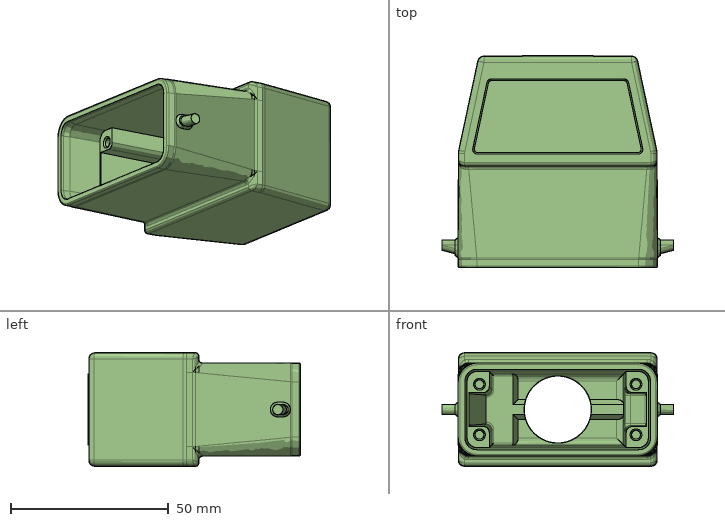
import cadquery as cq
import math


PIN_SPAN = 73.5
TOTAL_LENGTH = 67.3
HOOD_HEIGHT = 36.0

SEAT_HEIGHT = 0.25
BACK_Y = TOTAL_LENGTH - SEAT_HEIGHT
SHOULDER_Y = 32.2
BEND_Y = 36.7
HALF_WIDTH = 31.5
BACK_HALF_WIDTH = 25.0
BEND_RADIUS = 5.0
REAR_EDGE_RADIUS = 2.0
SHOULDER_RADIUS = 1.1

SKIRT_HALF_WIDTH = 31.65
SKIRT_HEIGHT = 29.6
SKIRT_OVERLAP = 1.0
CHEEK_END_Y = 36.1
SKIRT_MOUTH_RADIUS = 6.0
SKIRT_SHOULDER_RADIUS = 3.1
BAND_LENGTH = 2.6
BAND_STEP_END = 3.1
BAND_INSET = 0.1
MOUTH_EDGE_RADIUS = 0.5

WALL = 3.3
CAVITY_WIDTH = 57.8
CAVITY_HEIGHT = 24.5
CAVITY_CORNER_RADIUS = 3.3
RIM_STEP = 0.5
RIM_DEPTH = 1.0
DRAFT_START_Y = 3.0
POST_FACE_Y = 14.3
POST_HALF_GAP_X = 21.9
POST_HALF_GAP_Z = 5.6
POST_CORNER_RADIUS = 1.8
DRAFT_ANGLE = 1.0
SHELF_Y = BEND_Y
CAVITY_END_Y = 64.0
CAVITY_END_RADIUS = 2.2
FLOOR_FILLET = 0.6

RAISED_FLOOR_HEIGHT = 2.2
RAISED_FLOOR_EDGE_X = -14.1
RIB_HALF_WIDTH = 1.65
RAISED_FLOOR_DRAFT = 35.0

SCREW_X = 24.8
SCREW_Z = 8.0
SCREW_DIAMETER = 2.8
SCREW_CHAMFER = 0.45
SCREW_CHAMFER_ANGLE = 45.0
SCREW_DEPTH = 12.0

ENTRY_DIAMETER = 21.2
SEAT_DIAMETER = 22.4

LABEL_FRONT_Y = 36.0
LABEL_BACK_Y = 59.8
LABEL_FRONT_HALF_WIDTH = 27.3
LABEL_BACK_HALF_WIDTH = 22.2
LABEL_CORNER_RADIUS = 1.5
LABEL_DEPTH = 0.5
LABEL_DRAFT = 45.0

PIN_Y = 7.2
PIN_DIAMETER = 3.2
PIN_ROOT_LENGTH = 4.9
PIN_TIP_FLAT = 0.05
PIN_EMBED = 1.0
COLLAR_FLARE = 0.8
COLLAR_LENGTH = 1.0
COLLAR_EMBED = 0.1

WIDE_REACH = 2.0
BEND_REACH = 1.0
NARROW_REACH = 0.4


def section_at(y):
    """Workplane across the hood at depth y: local x is +X, local y is -Z, extrusion runs to +Y."""
    return cq.Workplane(cq.Plane(origin=(0, y, 0), xDir=(1, 0, 0), normal=(0, 1, 0)))


def rounded_rect(width, height, radius):
    return cq.Sketch().rect(width, height).vertices().fillet(radius)


def make_tapering_plan(front_y, inset):
    """Slab with the plan of the hood, narrowing from the bend to the back, its sides moved in by inset."""
    slope = (HALF_WIDTH - BACK_HALF_WIDTH) / (BACK_Y - BEND_Y)
    side_inset = inset * math.sqrt(1 + slope**2)
    bend_half_width = HALF_WIDTH - side_inset
    back_half_width = BACK_HALF_WIDTH - side_inset
    return (
        cq.Workplane("XY")
        .polyline([
            (-bend_half_width, front_y),
            (bend_half_width, front_y),
            (bend_half_width, BEND_Y),
            (back_half_width, BACK_Y),
            (-back_half_width, BACK_Y),
            (-bend_half_width, BEND_Y),
        ])
        .close()
        .extrude(HOOD_HEIGHT / 2, both=True)
    )


def make_rear():
    body = make_tapering_plan(SHOULDER_Y, 0)
    bends = cq.selectors.BoxSelector(
        (-PIN_SPAN, BEND_Y - BEND_REACH, -HOOD_HEIGHT), (PIN_SPAN, BEND_Y + BEND_REACH, HOOD_HEIGHT)
    )
    body = body.edges("|Z").edges(bends).fillet(BEND_RADIUS)
    body = body.faces(">Y").edges("|Z").fillet(REAR_EDGE_RADIUS)
    body = body.faces("<Y").edges("|X").fillet(SHOULDER_RADIUS)
    return body.faces(">Z or <Z").edges(">Y or (not |X)").fillet(REAR_EDGE_RADIUS)


def make_skirt():
    width = 2 * SKIRT_HALF_WIDTH
    band_width = width - 2 * BAND_INSET
    band_height = SKIRT_HEIGHT - 2 * BAND_INSET
    band_sketch = rounded_rect(band_width, band_height, SKIRT_MOUTH_RADIUS)
    root_sketch = rounded_rect(width, SKIRT_HEIGHT, SKIRT_MOUTH_RADIUS)
    shoulder_sketch = rounded_rect(2 * HALF_WIDTH, SKIRT_HEIGHT, SKIRT_SHOULDER_RADIUS)
    band = section_at(0).placeSketch(band_sketch).extrude(BAND_LENGTH)
    band = band.faces("<Y").edges().fillet(MOUTH_EDGE_RADIUS)
    step = BAND_STEP_END - BAND_LENGTH
    step_ring = section_at(BAND_LENGTH).placeSketch(
        band_sketch, root_sketch.moved(cq.Location(cq.Vector(0, 0, step)))
    ).loft()
    rise = SHOULDER_Y + SKIRT_OVERLAP - BAND_STEP_END
    sleeve = section_at(BAND_STEP_END).placeSketch(
        root_sketch, shoulder_sketch.moved(cq.Location(cq.Vector(0, 0, rise)))
    ).loft()
    return band.union(step_ring).union(sleeve)


def make_cheeks():
    """Carries the skirt section past the shoulder so that its side walls run flush into the rear part."""
    cheek_sketch = rounded_rect(2 * HALF_WIDTH, SKIRT_HEIGHT, SKIRT_SHOULDER_RADIUS)
    return section_at(SHOULDER_Y).placeSketch(cheek_sketch).extrude(CHEEK_END_Y - SHOULDER_Y)


def make_shell():
    shell = make_rear().union(make_skirt())
    reach = NARROW_REACH
    for side in (1, -1):
        inner_corner = cq.selectors.BoxSelector(
            (-reach, SHOULDER_Y - reach, side * SKIRT_HEIGHT / 2 - reach),
            (reach, SHOULDER_Y + reach, side * SKIRT_HEIGHT / 2 + reach),
        )
        shell = shell.edges(inner_corner).fillet(SHOULDER_RADIUS)
    return shell.union(make_cheeks())


def make_mouth_cavity():
    """Straight rim, a short lead-in, then drafted walls down to the post faces."""
    rim_sketch = rounded_rect(
        CAVITY_WIDTH + 2 * RIM_STEP, CAVITY_HEIGHT + 2 * RIM_STEP, CAVITY_CORNER_RADIUS + RIM_STEP
    )
    cavity_sketch = rounded_rect(CAVITY_WIDTH, CAVITY_HEIGHT, CAVITY_CORNER_RADIUS)
    lead_in_end = cavity_sketch.moved(cq.Location(cq.Vector(0, 0, DRAFT_START_Y - RIM_DEPTH)))
    rim = section_at(0).placeSketch(rim_sketch).extrude(RIM_DEPTH)
    lead_in = section_at(RIM_DEPTH).placeSketch(rim_sketch, lead_in_end).loft()
    walls_length = POST_FACE_Y - DRAFT_START_Y
    walls = section_at(DRAFT_START_Y).placeSketch(cavity_sketch).extrude(walls_length, taper=DRAFT_ANGLE)
    return rim.union(lead_in).union(walls)


def make_drafted_slot(x_start, x_end, height, end_y):
    """Box down to end_y whose four walls close in by the draft angle."""
    return (
        section_at(DRAFT_START_Y)
        .center((x_start + x_end) / 2, 0)
        .rect(x_end - x_start, height)
        .extrude(end_y - DRAFT_START_Y, taper=DRAFT_ANGLE)
    )


def make_side_slot(side, end_y):
    """Slot between one pair of posts, reaching from the centre to the side wall."""
    outer_x = side * CAVITY_WIDTH / 2
    return make_drafted_slot(min(0, outer_x), max(0, outer_x), 2 * POST_HALF_GAP_Z, end_y)


def make_shelf_slot():
    slot = make_side_slot(1, SHELF_Y)
    return slot.faces(">Y").edges().fillet(FLOOR_FILLET)


def make_channel():
    """Space between the four posts, with slots reaching to the left and right walls."""
    channel = make_drafted_slot(-POST_HALF_GAP_X, POST_HALF_GAP_X, CAVITY_HEIGHT, CAVITY_END_Y)
    channel = channel.faces(">Y").edges("|X or >X").fillet(CAVITY_END_RADIUS)
    channel = channel.union(make_side_slot(-1, CAVITY_END_Y)).union(make_shelf_slot())
    for side, end_y in ((-1, CAVITY_END_Y), (1, SHELF_Y)):
        mid_y = (DRAFT_START_Y + end_y) / 2
        reach = WIDE_REACH
        post_corners = cq.selectors.BoxSelector(
            (side * POST_HALF_GAP_X - reach, mid_y - reach, -POST_HALF_GAP_Z - reach),
            (side * POST_HALF_GAP_X + reach, mid_y + reach, POST_HALF_GAP_Z + reach),
        )
        channel = channel.edges(post_corners).fillet(POST_CORNER_RADIUS)
    channel = channel.cut(make_raised_floor())
    channel = fillet_raised_floor(channel)
    return channel.intersect(make_tapering_plan(0, WALL))


def fillet_raised_floor(channel):
    """Rounds the foot of the walls around the raised floor, between the slope and the floor edge."""
    floor_y = CAVITY_END_Y - RAISED_FLOOR_HEIGHT
    reach = NARROW_REACH
    foot_edges = cq.selectors.BoxSelector(
        (-CAVITY_WIDTH / 2, floor_y - reach, -CAVITY_HEIGHT),
        (RAISED_FLOOR_EDGE_X - reach, floor_y + reach, CAVITY_HEIGHT),
    )
    return channel.edges(foot_edges).fillet(FLOOR_FILLET)


def make_raised_floor():
    """Raised floor at the left with a central rib running to the right, widening towards the back."""
    return (
        section_at(CAVITY_END_Y - RAISED_FLOOR_HEIGHT)
        .polyline([
            (-HALF_WIDTH, -HOOD_HEIGHT / 2),
            (RAISED_FLOOR_EDGE_X, -HOOD_HEIGHT / 2),
            (RAISED_FLOOR_EDGE_X, -RIB_HALF_WIDTH),
            (HALF_WIDTH, -RIB_HALF_WIDTH),
            (HALF_WIDTH, RIB_HALF_WIDTH),
            (RAISED_FLOOR_EDGE_X, RIB_HALF_WIDTH),
            (RAISED_FLOOR_EDGE_X, HOOD_HEIGHT / 2),
            (-HALF_WIDTH, HOOD_HEIGHT / 2),
        ])
        .close()
        .extrude(RAISED_FLOOR_HEIGHT, taper=-RAISED_FLOOR_DRAFT)
    )


def make_screw_holes():
    positions = [(x, z) for x in (-SCREW_X, SCREW_X) for z in (-SCREW_Z, SCREW_Z)]
    bores = section_at(POST_FACE_Y).pushPoints(positions).circle(SCREW_DIAMETER / 2).extrude(SCREW_DEPTH)
    countersinks = (
        section_at(POST_FACE_Y)
        .pushPoints(positions)
        .circle(SCREW_DIAMETER / 2 + SCREW_CHAMFER)
        .extrude(SCREW_CHAMFER, taper=SCREW_CHAMFER_ANGLE)
    )
    return bores.union(countersinks)


def make_cable_seat():
    return section_at(CAVITY_END_Y).circle(SEAT_DIAMETER / 2).extrude(TOTAL_LENGTH - CAVITY_END_Y)


def make_cable_entry():
    return section_at(SHELF_Y).circle(ENTRY_DIAMETER / 2).extrude(TOTAL_LENGTH - SHELF_Y)


def make_label_recess():
    outline = (
        cq.Sketch()
        .polygon([
            (-LABEL_FRONT_HALF_WIDTH, LABEL_FRONT_Y),
            (LABEL_FRONT_HALF_WIDTH, LABEL_FRONT_Y),
            (LABEL_BACK_HALF_WIDTH, LABEL_BACK_Y),
            (-LABEL_BACK_HALF_WIDTH, LABEL_BACK_Y),
            (-LABEL_FRONT_HALF_WIDTH, LABEL_FRONT_Y),
        ])
        .vertices()
        .fillet(LABEL_CORNER_RADIUS)
    )
    return (
        cq.Workplane("XY", origin=(0, 0, HOOD_HEIGHT / 2))
        .placeSketch(outline)
        .extrude(-LABEL_DEPTH, taper=LABEL_DRAFT)
    )


def pin_section(length, width):
    """Slot across the pin; its rear end keeps the same centre and the length grows towards the mouth."""
    rear_y = PIN_Y + width / 2
    return cq.Sketch().push([(rear_y - length / 2, 0)]).slot(length - width, width)


def make_side_loft(side, start_section, end_section, start_x, end_x):
    """Loft outwards along X between two sections lying across the pin."""
    start_plane = cq.Plane(origin=(side * start_x, 0, 0), xDir=(0, 1, 0), normal=(1, 0, 0))
    end_location = cq.Location(cq.Vector(0, 0, side * (end_x - start_x)))
    return cq.Workplane(start_plane).placeSketch(start_section, end_section.moved(end_location)).loft()


def make_pin(side):
    """Locking pin on one side wall: round at the tip, deeper towards the mouth, with a flared collar."""
    root_x = HALF_WIDTH - PIN_EMBED
    root = pin_section(PIN_ROOT_LENGTH, PIN_DIAMETER)
    tip = pin_section(PIN_DIAMETER + PIN_TIP_FLAT, PIN_DIAMETER)
    pin = make_side_loft(side, root, tip, root_x, PIN_SPAN / 2)
    collar_foot = pin_section(PIN_ROOT_LENGTH + 2 * COLLAR_FLARE, PIN_DIAMETER + 2 * COLLAR_FLARE)
    collar_foot_x = SKIRT_HALF_WIDTH - COLLAR_EMBED
    collar = make_side_loft(side, collar_foot, root, collar_foot_x, collar_foot_x + COLLAR_LENGTH)
    return pin.union(collar)


result = (
    make_shell()
    .union(make_cable_seat())
    .cut(make_mouth_cavity().union(make_channel()))
    .cut(make_screw_holes())
    .cut(make_cable_entry())
    .cut(make_label_recess())
    .union(make_pin(1))
    .union(make_pin(-1))
)